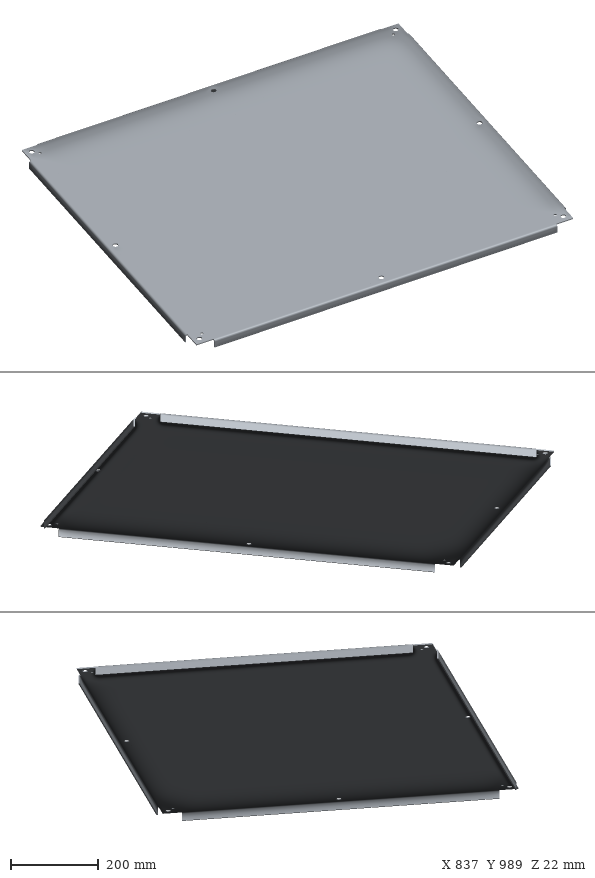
import cadquery as cq

length_x = 837.0
length_y = 989.0
height = 22.0

sheet = 3.0
bend_radius = 5.3
flange_end_gap = 49.0

mount_diameter = 13.0
mount_inset = 22.0
pilot_diameter = 7.1
pilot_inset = 36.0

half_x = length_x / 2
half_y = length_y / 2


def make_plate():
    """Flat sheet reaching out to the start of the folds."""
    return cq.Workplane("XY").box(
        length_x - 2 * bend_radius,
        length_y - 2 * bend_radius,
        sheet,
        centered=(True, True, False),
    ).translate((0, 0, height - sheet))


def make_flange(reach, length):
    """Fold and downturned flange on the +X side, its outer face at x = reach."""
    bend_start = reach - bend_radius
    bend_center_z = height - bend_radius
    inner_radius = bend_radius - sheet
    return (
        cq.Workplane("XZ")
        .moveTo(bend_start, height)
        .radiusArc((reach, bend_center_z), bend_radius)
        .lineTo(reach, 0)
        .lineTo(reach - sheet, 0)
        .lineTo(reach - sheet, bend_center_z)
        .radiusArc((bend_start, height - sheet), -inner_radius)
        .close()
        .extrude(length / 2, both=True)
    )


def drill(body, diameter, points):
    """Round holes straight through the sheet."""
    cutters = cq.Workplane("XY").pushPoints(points).circle(diameter / 2).extrude(height)
    return body.cut(cutters)


result = make_plate()
for angle in (0, 180):
    side_flange = make_flange(half_x, length_y - 2 * flange_end_gap)
    end_flange = make_flange(half_y, length_x - 2 * flange_end_gap)
    result = result.union(side_flange.rotate((0, 0, 0), (0, 0, 1), angle))
    result = result.union(end_flange.rotate((0, 0, 0), (0, 0, 1), angle + 90))

mount_x = half_x - mount_inset
mount_y = half_y - mount_inset
mount_points = [
    (x, y)
    for x in (-mount_x, 0, mount_x)
    for y in (-mount_y, 0, mount_y)
    if (x, y) != (0, 0)
]
result = drill(result, mount_diameter, mount_points)

pilot_x = half_x - pilot_inset
pilot_y = half_y - pilot_inset
pilot_points = [(x, y) for x in (-pilot_x, pilot_x) for y in (-pilot_y, pilot_y)]
result = drill(result, pilot_diameter, pilot_points)